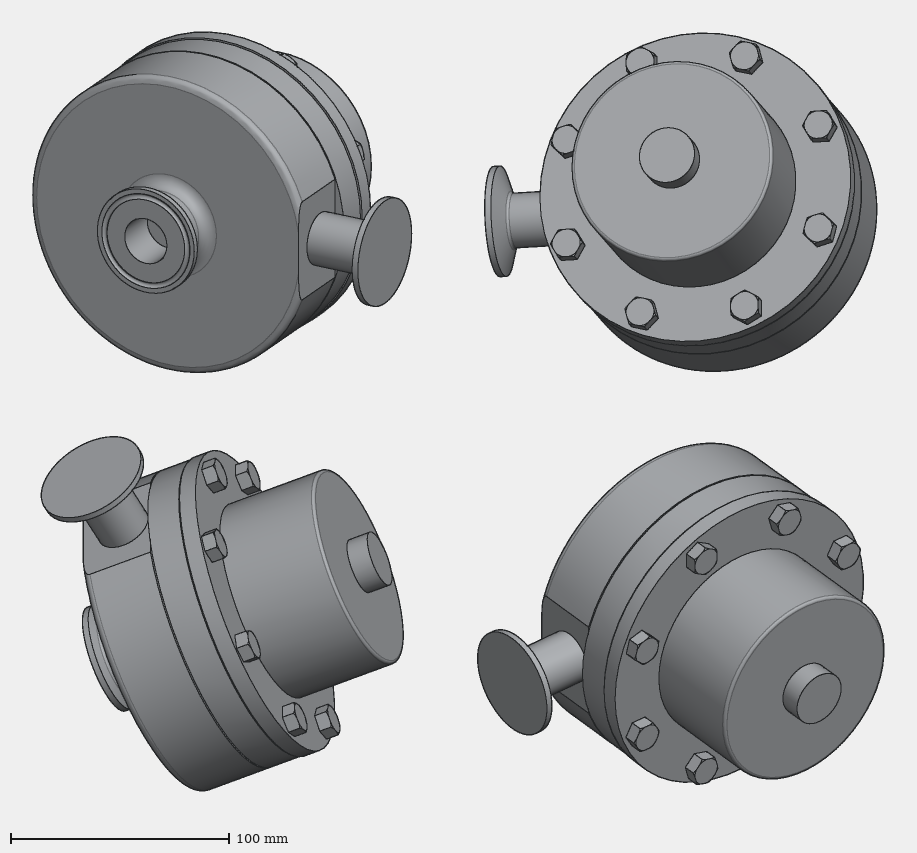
import cadquery as cq
import math


casing_front = 21.2
casing_back = 55.5
joint_gap = 0.7
flange_front = 72.6
flange_back = 80.7
drive_back = 128.7
shaft_end = 139.0

casing_radius = 72.5
casing_edge_radius = 3.5
joint_radius = 66.9
flange_radius = 73.0
overall_width = 175.0
outlet_flat_x = 68.3

drive_radius = 47.3
drive_edge_radius = 1.4
shaft_radius = 13.0

ferrule_radius = 25.4
ferrule_rim = 3.0
ferrule_slope = math.radians(20)
ferrule_root_fillet = 1.4

neck_radius = 19.3
neck_flare_radius = 6.0
inlet_bore_radius = 11.0
inlet_bore_depth = casing_front
gasket_groove_radius = 21.7
gasket_groove_width = 2.6

outlet_y = 41.7
outlet_tube_radius = 12.6
outlet_end_x = overall_width - flange_radius

bolt_count = 8
bolt_circle_radius = 64.0
bolt_first_angle = 180 / bolt_count
bolt_across_flats = 13.0
bolt_across_corners = bolt_across_flats / math.cos(math.radians(30))
bolt_head_height = 6.3
bolt_corner_angle = 45.0
bolt_chamfer_width = 0.9
bolt_chamfer_height = 0.5


def disc(radius, start, end):
    """Solid cylinder on the pump axis between two Y stations."""
    return cq.Workplane("XZ", origin=(0, start, 0)).circle(radius).extrude(start - end)


def make_casing():
    """Front casing with a rounded front edge and a flat for the outlet."""
    casing = disc(casing_radius, casing_front, casing_back)
    casing = casing.faces("<Y").edges().fillet(casing_edge_radius)
    beyond_flat = cq.Workplane("XY").box(
        casing_radius, 2 * casing_back, 2 * casing_radius, centered=(False, True, True)
    )
    return casing.cut(beyond_flat.translate((outlet_flat_x, 0, 0)))


def make_back():
    """Recessed joints, back ring, flange, drive housing and shaft."""
    joints = disc(joint_radius, casing_back, flange_front)
    ring = disc(casing_radius, casing_back + joint_gap, flange_front - joint_gap)
    flange = disc(flange_radius, flange_front, flange_back)
    drive = disc(drive_radius, flange_back, drive_back)
    drive = drive.faces(">Y").edges().fillet(drive_edge_radius)
    shaft = disc(shaft_radius, drive_back, shaft_end)
    return joints.union(ring).union(flange).union(drive).union(shaft)


def cone_length(tube_radius):
    """Axial length of a ferrule cone that rises from a tube to the ferrule rim."""
    return (ferrule_radius - tube_radius) * math.tan(ferrule_slope)


def round_cone_root(fitting):
    """Fillet the smaller circle of the ferrule cone, where it meets the tube."""
    root_edge = cq.selectors.RadiusNthSelector(0)
    return fitting.faces("%CONE").edges("%CIRCLE").edges(root_edge).fillet(ferrule_root_fillet)


def make_inlet():
    """Inlet neck with a sloped ferrule, flaring into the casing front."""
    cone_root_y = ferrule_rim + cone_length(neck_radius)
    flare_mid = neck_flare_radius * (1 - math.sqrt(0.5))
    inlet = (
        cq.Workplane("XY")
        .lineTo(ferrule_radius, 0)
        .lineTo(ferrule_radius, ferrule_rim)
        .lineTo(neck_radius, cone_root_y)
        .lineTo(neck_radius, casing_front - neck_flare_radius)
        .threePointArc(
            (neck_radius + flare_mid, casing_front - flare_mid),
            (neck_radius + neck_flare_radius, casing_front),
        )
        .lineTo(0, casing_front)
        .close()
        .revolve(360, (0, 0), (0, 1))
    )
    return round_cone_root(inlet)


def make_outlet():
    """Side tube along +X ending in a conical ferrule."""
    inner_x = outlet_flat_x - casing_edge_radius
    rim_x = outlet_end_x - ferrule_rim
    cone_root_x = rim_x - cone_length(outlet_tube_radius)
    outlet = (
        cq.Workplane("XY")
        .moveTo(inner_x, outlet_y)
        .lineTo(inner_x, outlet_y + outlet_tube_radius)
        .lineTo(cone_root_x, outlet_y + outlet_tube_radius)
        .lineTo(rim_x, outlet_y + ferrule_radius)
        .lineTo(outlet_end_x, outlet_y + ferrule_radius)
        .lineTo(outlet_end_x, outlet_y)
        .close()
        .revolve(360, (0, outlet_y), (1, outlet_y))
    )
    return round_cone_root(outlet)


def make_bolt_head():
    """Hexagon head on the flange back, at the origin of the bolt pattern, corners chamfered."""
    head_back = flange_back + bolt_head_height
    hexagon = (
        cq.Workplane("XZ", origin=(0, flange_back, 0))
        .polygon(6, bolt_across_corners)
        .extrude(-bolt_head_height)
    )
    corner_radius = bolt_across_corners / 2
    envelope = (
        disc(corner_radius, flange_back, head_back)
        .faces(">Y")
        .edges()
        .chamfer(bolt_chamfer_height, bolt_chamfer_width)
    )
    return hexagon.intersect(envelope)


def add_bolts(body):
    """Equally spaced bolt heads, each turned with its place on the circle."""
    head = make_bolt_head().rotate((0, 0, 0), (0, 1, 0), -bolt_corner_angle)
    first_angle = math.radians(bolt_first_angle)
    first = head.translate(
        (bolt_circle_radius * math.cos(first_angle), 0, bolt_circle_radius * math.sin(first_angle))
    )
    for i in range(bolt_count):
        body = body.union(first.rotate((0, 0, 0), (0, 1, 0), i * 360 / bolt_count))
    return body


def make_gasket_groove():
    """Half-round ring sunk into the inlet ferrule face."""
    return (
        cq.Workplane("XY")
        .moveTo(gasket_groove_radius, 0)
        .circle(gasket_groove_width / 2)
        .revolve(360, (0, 0), (0, 1))
    )


body = make_casing().union(make_back()).union(make_inlet()).union(make_outlet())
body = add_bolts(body)
body = body.cut(make_gasket_groove())
result = body.cut(disc(inlet_bore_radius, 0, inlet_bore_depth))